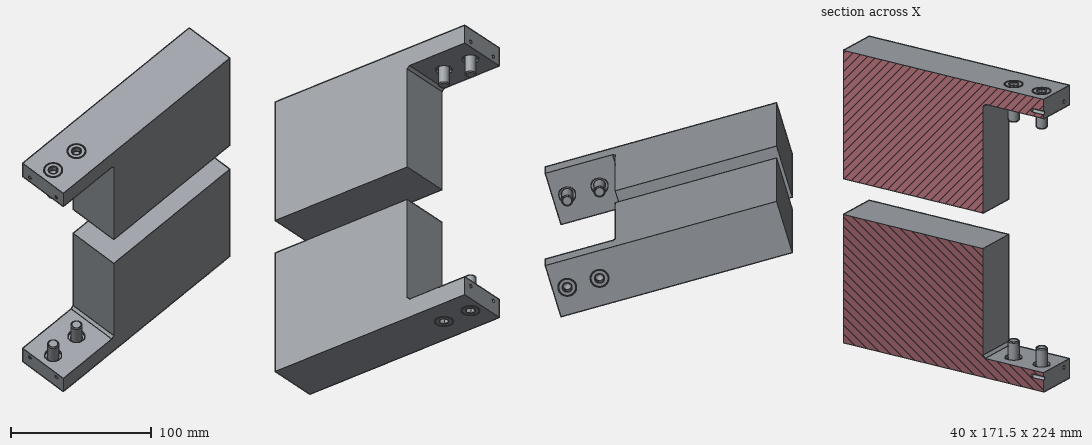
import cadquery as cq
import math

overall_height = 224.0
jaw_width = 40.0
jaw_length = 171.5
jaw_gap = 26.9
jaw_height = (overall_height - jaw_gap) / 2

arm_length = 52.0
arm_thickness = 15.0
corner_chamfer = 2.0

screw_end_offset = 10.5
screw_spacing = 24.0
screw_positions = [screw_end_offset, screw_end_offset + screw_spacing]
head_diameter = 13.0
head_height = 8.0
head_chamfer = 0.5
shank_diameter = 8.0
shank_protrusion = 13.0
tip_chamfer = 0.78
socket_sides = 6
socket_across_flats = 6.0
socket_depth = 4.0
socket_entry_diameter = 7.2
socket_point_angle = 120.0

counterbore_diameter = 13.5
clearance_diameter = 8.5
inner_recess_diameter = 12.0
inner_recess_depth = 2.2

end_hole_diameter = 2.5
end_hole_spacing = 26.0
end_hole_inset = 10.5
end_hole_depth = 10.0
end_hole_point_angle = 118.0

top_z = overall_height / 2
arm_inner_z = top_z - arm_thickness
head_seat_z = top_z - head_height


def cone_height(diameter, point_angle):
    """Height of a conical hole bottom with the given full point angle."""
    return diameter / 2 / math.tan(math.radians(point_angle / 2))


def cylinder_down(diameter, y, start_z, end_z):
    """Vertical cylinder on the centre plane, from start_z down to end_z."""
    return (
        cq.Workplane("XY", origin=(0, y, end_z))
        .circle(diameter / 2)
        .extrude(start_z - end_z)
    )


def make_jaw_blank():
    """Upper jaw profile with a chamfered inside corner, extruded across X."""
    return (
        cq.Workplane("YZ")
        .moveTo(0, top_z)
        .lineTo(jaw_length, top_z)
        .lineTo(jaw_length, top_z - jaw_height)
        .lineTo(arm_length, top_z - jaw_height)
        .lineTo(arm_length, arm_inner_z - corner_chamfer)
        .lineTo(arm_length - corner_chamfer, arm_inner_z)
        .lineTo(0, arm_inner_z)
        .close()
        .extrude(jaw_width / 2, both=True)
    )


def make_screw_hole(y):
    """Cutter for one stepped screw hole through the arm."""
    counterbore = cylinder_down(counterbore_diameter, y, top_z, head_seat_z)
    clearance = cylinder_down(clearance_diameter, y, top_z, arm_inner_z)
    recess_top_z = arm_inner_z + inner_recess_depth
    inner_recess = cylinder_down(inner_recess_diameter, y, recess_top_z, arm_inner_z)
    return counterbore.union(clearance).union(inner_recess)


def make_end_hole(x):
    """Cutter for one blind hole with a drill point, running along +Y from the arm end."""
    point_depth = end_hole_depth + cone_height(end_hole_diameter, end_hole_point_angle)
    axis_z = top_z - end_hole_inset
    return (
        cq.Workplane("XY", origin=(x, 0, axis_z))
        .lineTo(end_hole_diameter / 2, 0)
        .lineTo(end_hole_diameter / 2, end_hole_depth)
        .lineTo(0, point_depth)
        .close()
        .revolve(360, (0, 0, 0), (0, 1, 0))
    )


def make_jaw():
    """Upper jaw with its screw holes and end holes."""
    jaw = make_jaw_blank()
    for y in screw_positions:
        jaw = jaw.cut(make_screw_hole(y))
    for side in (-1, 1):
        jaw = jaw.cut(make_end_hole(side * end_hole_spacing / 2))
    return jaw


def make_cone_down(diameter, y, start_z, point_angle):
    """Cone on the centre plane with its base at start_z and its point below."""
    height = cone_height(diameter, point_angle)
    base = cq.Vector(0, y, start_z)
    down = cq.Vector(0, 0, -1)
    return cq.Workplane(cq.Solid.makeCone(diameter / 2, 0, height, pnt=base, dir=down))


def make_socket(y):
    """Cutter for the hexagonal socket, its countersunk entry and its conical bottom."""
    half_side_angle = math.pi / socket_sides
    across_corners = socket_across_flats / math.cos(half_side_angle)
    floor_z = top_z - socket_depth
    hexagon = (
        cq.Workplane("XY", origin=(0, y, floor_z))
        .transformed(rotate=(0, 0, math.degrees(half_side_angle)))
        .polygon(socket_sides, across_corners)
        .extrude(socket_depth)
    )
    entry = make_cone_down(socket_entry_diameter, y, top_z, socket_point_angle)
    bottom = make_cone_down(socket_across_flats, y, floor_z, socket_point_angle)
    return hexagon.union(entry).union(bottom)


def make_screw(y):
    """Cap screw of the upper jaw, pointing down toward the other jaw."""
    tip_z = arm_inner_z - shank_protrusion
    head = cylinder_down(head_diameter, y, top_z, head_seat_z)
    head = head.faces(">Z").chamfer(head_chamfer)
    shank = cylinder_down(shank_diameter, y, head_seat_z, tip_z)
    shank = shank.faces("<Z").chamfer(tip_chamfer)
    return head.union(shank).cut(make_socket(y))


upper_jaw = make_jaw()
lower_jaw = upper_jaw.mirror("XY")
upper_screws = [make_screw(y) for y in screw_positions]
lower_screws = [screw.mirror("XY") for screw in upper_screws]

bodies = [upper_jaw, lower_jaw, *upper_screws, *lower_screws]
result = cq.Compound.makeCompound([body.val() for body in bodies])